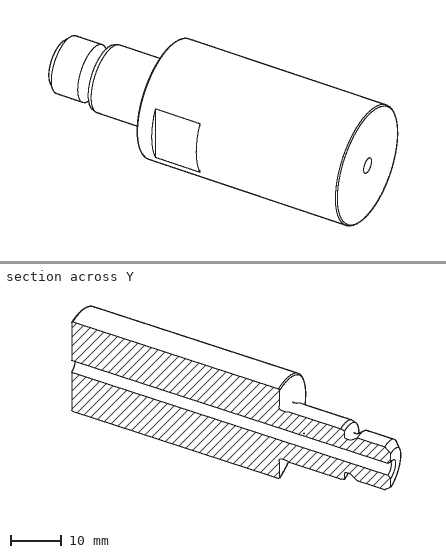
import cadquery as cq
import math

length = 69.0
body_radius = 12.5
body_start = 24.0
body_chamfer = 0.3

nose_radius = 6.0
nose_chamfer = 1.3

neck_start = 7.25
neck_radius = 4.75
neck_lead_angle = math.radians(40)
neck_fillet = 0.6
neck_corner_radius = 0.4

pilot_start = 10.0
pilot_radius = 7.05
pilot_lead_length = 0.8
pilot_lead_height = 0.3

undercut_start = 21.9
undercut_depth = 0.3
undercut_lead_length = 0.9
undercut_face_depth = 0.105
undercut_corner_radius = 0.6
undercut_outer_radius = 8.1

flat_start = 27.45
flat_length = 10.0
flat_offset = 11.0

hole_radius = 1.6
countersink_radius = 2.2


def arc_point(center, radius, angle):
    return (center[0] + radius * math.cos(angle), center[1] + radius * math.sin(angle))


def turned_profile():
    """Half section in the XZ plane, with Z as the radius."""
    fillet_top = neck_radius + neck_fillet * (1 - math.cos(neck_lead_angle))
    lead_length = (nose_radius - fillet_top) / math.tan(neck_lead_angle)
    fillet_start = neck_start + lead_length
    fillet_end = fillet_start + neck_fillet * math.sin(neck_lead_angle)
    fillet_center = (fillet_end, neck_radius + neck_fillet)
    fillet_middle = arc_point(fillet_center, neck_fillet, -math.pi / 2 - neck_lead_angle / 2)

    corner_center = (pilot_start - neck_corner_radius, neck_radius + neck_corner_radius)
    corner_middle = arc_point(corner_center, neck_corner_radius, -math.pi / 4)

    undercut_radius = pilot_radius - undercut_depth
    undercut_end = body_start + undercut_face_depth
    undercut_center = (undercut_end - undercut_corner_radius, undercut_radius + undercut_corner_radius)
    undercut_middle = arc_point(undercut_center, undercut_corner_radius, -math.pi / 4)

    return (
        cq.Workplane("XZ")
        .moveTo(0, 0)
        .lineTo(0, nose_radius - nose_chamfer)
        .lineTo(nose_chamfer, nose_radius)
        .lineTo(neck_start, nose_radius)
        .lineTo(fillet_start, fillet_top)
        .threePointArc(fillet_middle, (fillet_end, neck_radius))
        .lineTo(corner_center[0], neck_radius)
        .threePointArc(corner_middle, (pilot_start, corner_center[1]))
        .lineTo(pilot_start, pilot_radius - pilot_lead_height)
        .lineTo(pilot_start + pilot_lead_length, pilot_radius)
        .lineTo(undercut_start, pilot_radius)
        .lineTo(undercut_start + undercut_lead_length, undercut_radius)
        .lineTo(undercut_center[0], undercut_radius)
        .threePointArc(undercut_middle, (undercut_end, undercut_center[1]))
        .lineTo(body_start, undercut_outer_radius)
        .lineTo(body_start, body_radius - body_chamfer)
        .lineTo(body_start + body_chamfer, body_radius)
        .lineTo(length - body_chamfer, body_radius)
        .lineTo(length, body_radius - body_chamfer)
        .lineTo(length, 0)
        .close()
    )


def flat_cutter(side):
    """Block that cuts one wrench flat; side is -1 or 1 along Y."""
    return cq.Workplane("XY").box(flat_length, body_radius, 2 * body_radius).translate(
        (flat_start + flat_length / 2, side * (flat_offset + body_radius / 2), 0)
    )


def hole_cutter():
    """Through hole and its 45 degree countersink."""
    countersink_depth = countersink_radius - hole_radius
    section = (
        cq.Workplane("XZ")
        .moveTo(0, 0)
        .lineTo(0, countersink_radius)
        .lineTo(countersink_depth, hole_radius)
        .lineTo(length, hole_radius)
        .lineTo(length, 0)
        .close()
    )
    return section.revolve(360, (0, 0, 0), (1, 0, 0))


result = turned_profile().revolve(360, (0, 0, 0), (1, 0, 0))
for side in (-1, 1):
    result = result.cut(flat_cutter(side))
result = result.cut(hole_cutter())